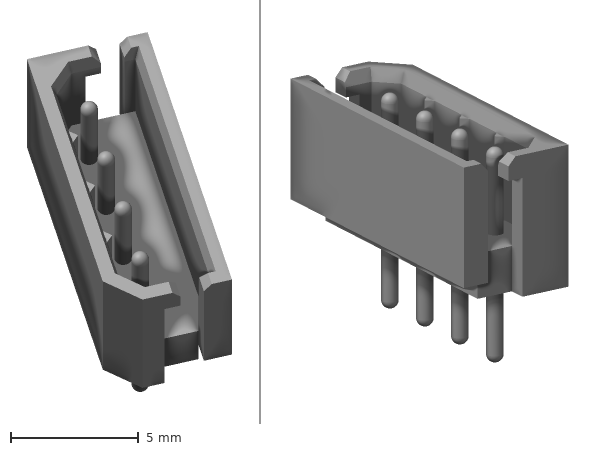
import cadquery as cq
import math

length = 12.4
depth = 4.9
height = 5.9
corner_bevel = 1.26

wall = 0.76
back_wall = 0.71
floor_z = 1.88
cavity_corner = 0.84
mouth_offset = 0.2
mouth_depth = 0.55

slot_front = 2.16
slot_back = 3.76
back_wall_bottom = 0.89
hook_front = 2.8
hook_bottom = 4.94
lead_in_y = 0.32
lead_in_z = 0.36

pin_count = 4
pin_pitch = 2.5
pin_diameter = 0.7
pin_y = 1.85
pin_bottom = -3.5
pin_top = 5.44

rib_width = 0.57
rib_projection = 0.3


def box(x0, x1, y0, y1, z0, z1):
    return cq.Workplane("XY").box(x1 - x0, y1 - y0, z1 - z0, centered=False).translate((x0, y0, z0))


def cavity_profile(z, offset):
    """Cavity outline at height z, moved outward by offset and cut off at its front corners."""
    left = wall - offset
    right = length - left
    front = wall - offset
    back = depth - back_wall + offset
    corner = cavity_corner + offset * (2 - math.sqrt(2))
    return cq.Workplane("XY").workplane(offset=z).polyline([
        (left + corner, front),
        (right - corner, front),
        (right, front + corner),
        (right, back),
        (left, back),
        (left, front + corner),
    ]).close()


def cavity():
    mouth_z = height - mouth_depth
    straight = cavity_profile(floor_z, 0).extrude(height - floor_z)
    lower = cavity_profile(mouth_z, 0).wires().val()
    upper = cavity_profile(height, mouth_offset).wires().val()
    mouth = cq.Solid.makeLoft([lower, upper], True)
    return straight.union(cq.Workplane(obj=mouth))


def end_slot(x0, x1):
    """Opening through one end wall, under the hook and up to the flared top."""
    width = x1 - x0
    return (
        cq.Workplane("YZ").workplane(offset=x0)
        .polyline([
            (slot_front, 0),
            (slot_back, 0),
            (slot_back, height - lead_in_z),
            (slot_back + lead_in_y, height),
            (hook_front - lead_in_y, height),
            (hook_front, height - lead_in_z),
            (hook_front, hook_bottom),
            (slot_front, hook_bottom),
        ]).close().extrude(width)
    )


def pin(x):
    radius = pin_diameter / 2
    return (
        cq.Workplane("XY").workplane(offset=pin_bottom + radius).center(x, pin_y)
        .circle(radius).extrude(pin_top - pin_bottom - pin_diameter)
        .union(cq.Workplane("XY").sphere(radius).translate((x, pin_y, pin_bottom + radius)))
        .union(cq.Workplane("XY").sphere(radius).translate((x, pin_y, pin_top - radius)))
    )


def rib(x):
    return (
        cq.Workplane("XY").workplane(offset=floor_z)
        .polyline([
            (x - rib_width / 2, wall),
            (x, wall + rib_projection),
            (x + rib_width / 2, wall),
        ]).close().extrude(height - mouth_depth - floor_z)
    )


body = box(0, length, 0, depth, 0, height)
body = body.edges("|Z and >X and <Y").chamfer(corner_bevel)
body = body.cut(box(0, length, slot_back, depth, 0, back_wall_bottom))
body = body.cut(cavity())
body = body.cut(end_slot(0, wall))
body = body.cut(end_slot(length - wall, length))

first_pin_x = (length - (pin_count - 1) * pin_pitch) / 2
for i in range(pin_count):
    body = body.union(pin(first_pin_x + i * pin_pitch))
for i in range(pin_count - 1):
    body = body.union(rib(first_pin_x + (i + 0.5) * pin_pitch))

result = body